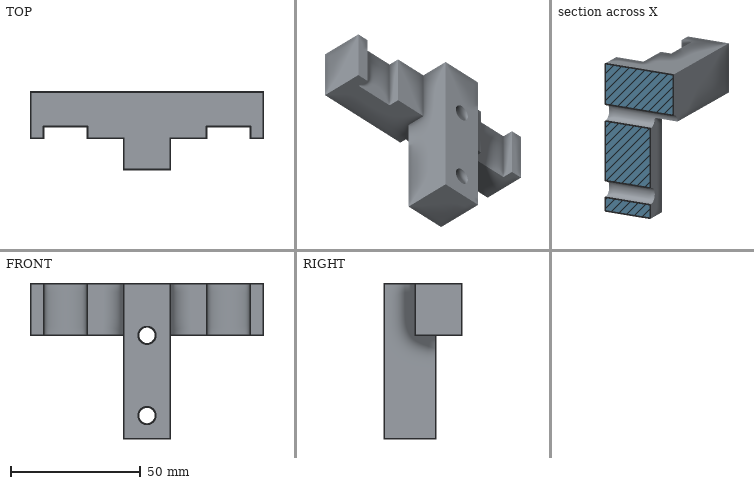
import cadquery as cq

bar_length = 90.0
bar_depth = 18.0
bar_height = 20.0

notch_width = 17.0
notch_depth = 4.6
end_lip_width = 5.0

stem_width = 18.0
stem_depth = 20.0
stem_height = 60.0
stem_projection = 12.0

hole_diameter = 6.6
lower_hole_above_bottom = 9.0
hole_spacing = 31.0

bar_front_y = -bar_depth
stem_front_y = bar_front_y - stem_projection
total_depth = bar_depth + stem_projection
notch_center_x = bar_length / 2 - end_lip_width - notch_width / 2
lower_hole_z = lower_hole_above_bottom - stem_height
hole_heights = (lower_hole_z, lower_hole_z + hole_spacing)


def block(width, depth, height, center_x, front_y):
    """Box centred on center_x, with its front at front_y and its top at Z = 0."""
    return (
        cq.Workplane("XY")
        .box(width, depth, height, centered=(True, False, False))
        .translate((center_x, front_y, -height))
    )


def crossbar():
    """Bar with a full-height notch near each end of its front face."""
    bar = block(bar_length, bar_depth, bar_height, 0, bar_front_y)
    for center_x in (-notch_center_x, notch_center_x):
        bar = bar.cut(block(notch_width, notch_depth, bar_height, center_x, bar_front_y))
    return bar


def stem():
    """Upright rectangular post, flush with the top of the crossbar."""
    return block(stem_width, stem_depth, stem_height, 0, stem_front_y)


def stem_hole(height):
    """Cylinder along Y that passes through the whole part."""
    return (
        cq.Workplane("XZ", origin=(0, 0, height))
        .circle(hole_diameter / 2)
        .extrude(total_depth)
    )


result = crossbar().union(stem())
for hole_z in hole_heights:
    result = result.cut(stem_hole(hole_z))